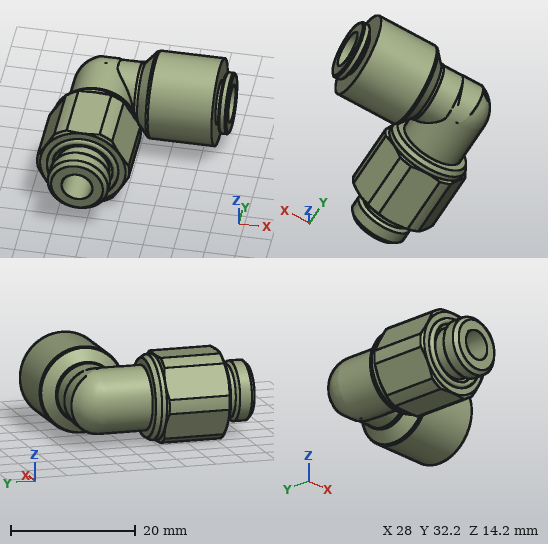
import cadquery as cq
import math

overall_length = 32.2
inlet_bore_radius = 2.5
outlet_bore_radius = 3.05
drill_point_angle = 118.0
socket_radius = 14.2 / 2
body_radius = 5.28
body_end = 7.63
branch_radius = 4.93
crown_offset = body_radius - branch_radius
branch_start = math.sqrt(body_radius**2 - branch_radius**2)

swivel_neck_radius = 3.85
collar_start = 7.83
collar_radius = 6.93
collar_chamfer_width = 0.5
collar_chamfer_length = 0.87
hex_start = 9.5
hex_end = 20.1
hex_across_flats = 14.0
hex_corner_radius = 7.5
hex_chamfer_radius = 6.95
hex_chamfer_length = 0.3
thread_neck_radius = 4.32
thread_start = 21.9
thread_end = overall_length - socket_radius
thread_radius = 4.9
thread_lead_in = 0.55
thread_chamfer = 0.68

seal_radius = 5.35
seal_section_radius = 0.48
seal_center = hex_end + 0.2

branch_rim_start = 5.48
branch_end = 6.0
socket_cone_start_radius = 5.02
socket_cone_end = 7.73
socket_edge_radius = 6.95
socket_start = 8.12
socket_end = 18.5
sleeve_radius = 3.6
release_ring_start = 19.13
release_ring_end = 20.5
release_ring_radius = 4.95
release_ring_chamfer = 0.25


def turned_inlet(profile):
    """Revolve (radius, distance along -Y) points about the Y axis."""
    points = [(radius, -distance) for radius, distance in profile]
    return cq.Workplane("XY").polyline(points).close().revolve(360, (0, 0, 0), (0, 1, 0))


def turned_outlet(profile):
    """Revolve (distance along +X, radius) points about the X axis."""
    return cq.Workplane("XY").polyline(profile).close().revolve(360, (0, 0, 0), (1, 0, 0))


def make_elbow():
    """Straight body capped by a ball that an off-centre cylinder flattens to the branch height."""
    body = turned_inlet([(0, 0), (body_radius, 0), (body_radius, body_end), (0, body_end)])
    upper_half = cq.Workplane("XY", origin=(-body_radius, 0, 0)).box(
        body_radius + branch_start, body_radius, 2 * body_radius, centered=(False, False, True)
    )
    crown_cylinder = (
        cq.Workplane("YZ", origin=(-body_radius, -crown_offset, 0))
        .circle(math.hypot(body_radius, crown_offset))
        .extrude(2 * body_radius)
    )
    crown = cq.Workplane("XY").sphere(body_radius).intersect(upper_half).intersect(crown_cylinder)
    return body.union(crown)


def make_inlet():
    """Swivel neck, collar, and threaded spigot turned about Y."""
    collar_shoulder = collar_start + collar_chamfer_length
    return turned_inlet([
        (0, 0),
        (swivel_neck_radius, 0),
        (swivel_neck_radius, collar_start),
        (collar_radius - collar_chamfer_width, collar_start),
        (collar_radius, collar_shoulder),
        (collar_radius, hex_start),
        (thread_neck_radius, hex_start),
        (thread_neck_radius, thread_start),
        (thread_radius, thread_start + thread_lead_in),
        (thread_radius, thread_end - thread_chamfer),
        (thread_radius - thread_chamfer, thread_end),
        (0, thread_end),
    ])


def make_nut():
    """Hexagon whose corners are turned down and chamfered at both ends."""
    across_corners = hex_across_flats / math.cos(math.pi / 6)
    hexagon = (
        cq.Workplane("XZ", origin=(0, -hex_start, 0))
        .polygon(6, across_corners)
        .extrude(hex_end - hex_start)
    )
    turned_limit = turned_inlet([
        (0, hex_start),
        (hex_chamfer_radius, hex_start),
        (hex_corner_radius, hex_start + hex_chamfer_length),
        (hex_corner_radius, hex_end - hex_chamfer_length),
        (hex_chamfer_radius, hex_end),
        (0, hex_end),
    ])
    return hexagon.intersect(turned_limit)


def make_seal():
    """Round-section sealing ring against the end of the nut."""
    return (
        cq.Workplane("XY")
        .center(seal_radius, -seal_center)
        .circle(seal_section_radius)
        .revolve(360, (-seal_radius, 0, 0), (-seal_radius, 1, 0))
    )


def make_outlet():
    """Branch, tube socket, and release ring turned about X."""
    ring_face_radius = release_ring_radius - release_ring_chamfer
    return turned_outlet([
        (branch_start, 0),
        (branch_start, branch_radius),
        (branch_rim_start, branch_radius),
        (branch_rim_start, socket_cone_start_radius),
        (branch_end, socket_cone_start_radius),
        (socket_cone_end, socket_edge_radius),
        (socket_start, socket_radius),
        (socket_end, socket_radius),
        (socket_end, sleeve_radius),
        (release_ring_start, sleeve_radius),
        (release_ring_start, ring_face_radius),
        (release_ring_start + release_ring_chamfer, release_ring_radius),
        (release_ring_end - release_ring_chamfer, release_ring_radius),
        (release_ring_end, ring_face_radius),
        (release_ring_end, 0),
    ])


def drill_tip(radius):
    """Length of the conical end left by a drill of the given radius."""
    return radius / math.tan(math.radians(drill_point_angle / 2))


def make_inlet_bore():
    """Bore along Y whose conical end begins at the elbow centre."""
    return turned_inlet([
        (0, -drill_tip(inlet_bore_radius)),
        (inlet_bore_radius, 0),
        (inlet_bore_radius, thread_end),
        (0, thread_end),
    ])


def make_outlet_bore():
    """Bore along X whose conical end begins at the elbow centre."""
    return turned_outlet([
        (-drill_tip(outlet_bore_radius), 0),
        (0, outlet_bore_radius),
        (release_ring_end, outlet_bore_radius),
        (release_ring_end, 0),
    ])


result = (
    make_elbow()
    .union(make_outlet())
    .union(make_inlet())
    .union(make_nut())
    .union(make_seal())
    .cut(make_inlet_bore())
    .cut(make_outlet_bore())
)